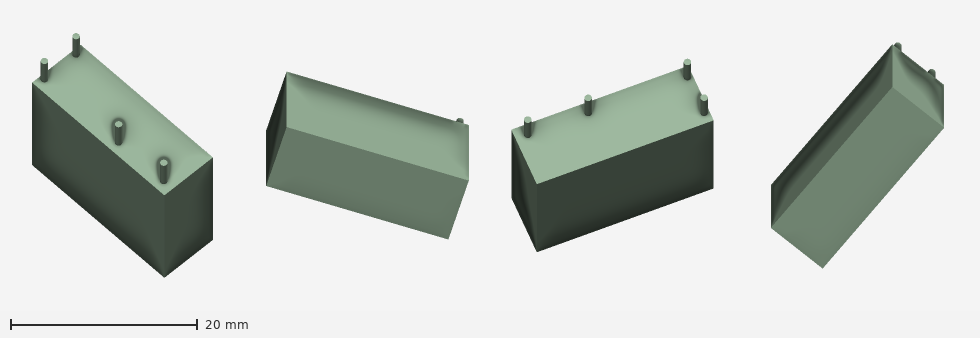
import cadquery as cq

body_length = 20.5
body_width = 7.2
overall_height = 18.7
pin_length = 3.4
body_height = overall_height - pin_length

pin_diameter = 0.8
end_margin = 0.6
row_spacing = 4.7
common_offset = 11.5
contact_pitch = 7.0

coil_x = -body_length / 2 + end_margin
common_x = coil_x + common_offset
contact_x = common_x + contact_pitch
front_row_y = -row_spacing / 2
back_row_y = row_spacing / 2

pin_positions = [
    (coil_x, front_row_y),
    (coil_x, back_row_y),
    (common_x, front_row_y),
    (contact_x, front_row_y),
]


def make_body():
    """Plain block with its base at Z = 0, centred in X and Y."""
    return cq.Workplane("XY").box(
        body_length, body_width, body_height, centered=(True, True, False)
    )


def add_pins(body):
    """Fuse the four pins onto the top face of the body."""
    return (
        body.faces(">Z")
        .workplane(origin=(0, 0, body_height))
        .pushPoints(pin_positions)
        .circle(pin_diameter / 2)
        .extrude(pin_length)
    )


result = add_pins(make_body())